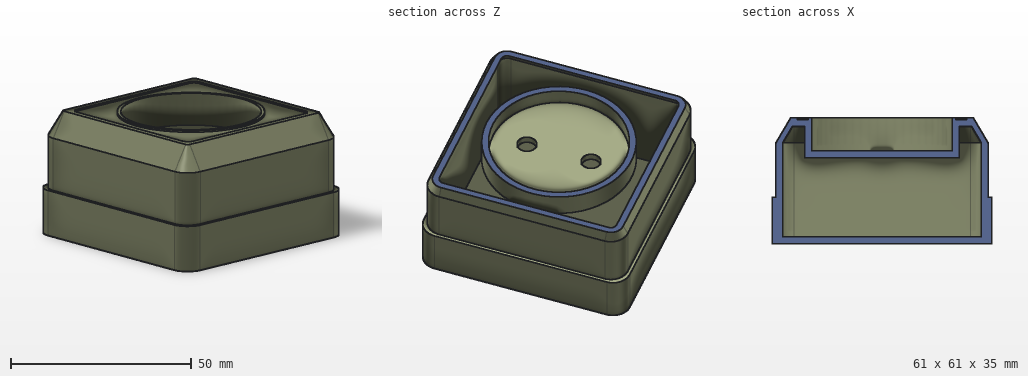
import cadquery as cq
import math

base_side = 61.0
base_height = 13.0
corner_radius = 5.0

total_height = 35.0
cover_inset = 1.0
cover_side = base_side - 2 * cover_inset
slope_start = 28.0
slope_inset = 4.15
slope_height = total_height - slope_start
slope_angle = math.degrees(math.atan(slope_inset / slope_height))

panel_side = 47.0
panel_radius = 2.15
panel_depth = 0.5

rim_diameter = 41.0
well_diameter = 39.0
well_depth = 9.15
well_floor = total_height - well_depth

pin_diameter = 5.5
pin_spacing = 19.0

wall = 2.0
cavity_side = cover_side - 2 * wall
cavity_radius = corner_radius - wall
cavity_top = total_height - panel_depth - wall
cup_diameter = well_diameter + 2 * wall
cup_bottom = well_floor - wall


def rounded_block(side, radius, bottom, top, taper=0):
    """Square block with rounded corners, optionally narrowing upwards."""
    outline = cq.Sketch().rect(side, side).vertices().fillet(radius)
    start = cq.Workplane("XY").workplane(offset=bottom)
    return start.placeSketch(outline).extrude(top - bottom, taper=taper)


def cylinder(diameter, bottom, top):
    """Upright cylinder on the part's centre line."""
    return cq.Workplane("XY").workplane(offset=bottom).circle(diameter / 2).extrude(top - bottom)


def outer_body():
    """Base, straight cover and sloped band."""
    base = rounded_block(base_side, corner_radius, 0, base_height)
    cover = rounded_block(cover_side, corner_radius, base_height, slope_start)
    band = rounded_block(cover_side, corner_radius, slope_start, total_height, slope_angle)
    return base.union(cover).union(band)


def cavity():
    """Enclosed space above the back plate that surrounds the cup of the plug well."""
    straight = rounded_block(cavity_side, cavity_radius, wall, slope_start)
    sloped = rounded_block(cavity_side, cavity_radius, slope_start, cavity_top, slope_angle)
    return straight.union(sloped).cut(cylinder(cup_diameter, cup_bottom, total_height))


def panel_recess():
    """Material removed around the rim to sink the panel."""
    bottom = total_height - panel_depth
    recess = rounded_block(panel_side, panel_radius, bottom, total_height)
    return recess.cut(cylinder(rim_diameter, bottom, total_height))


def plug_well():
    """Round well together with the two pin holes through its floor."""
    well = cylinder(well_diameter, well_floor, total_height)
    pin = cylinder(pin_diameter, cup_bottom, well_floor)
    for side in (-1, 1):
        well = well.union(pin.translate((side * pin_spacing / 2, 0, 0)))
    return well


result = outer_body().cut(cavity()).cut(panel_recess()).cut(plug_well())